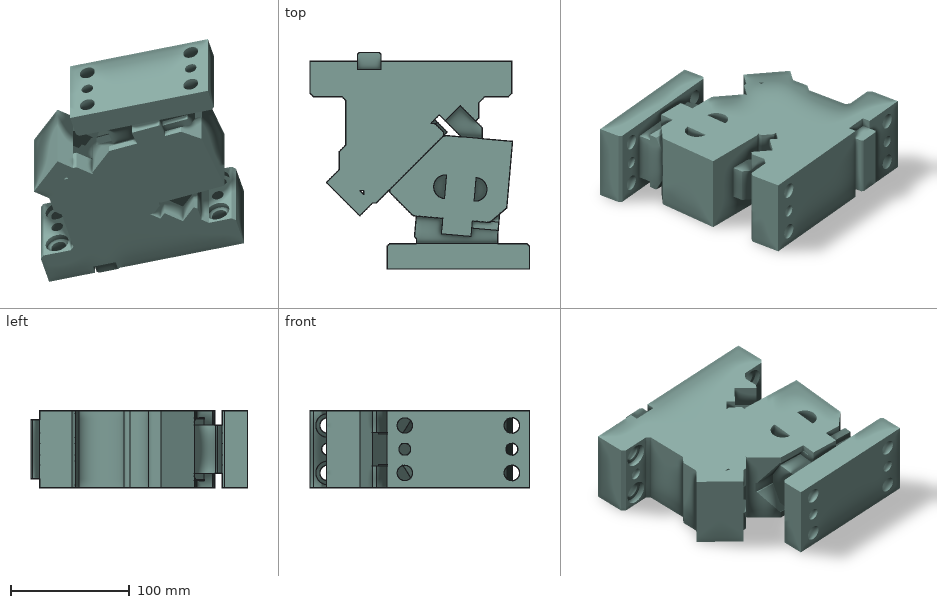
import cadquery as cq
import math


far = 185.0
height = 65.0
hole_spacing = 40.0
hole_inset = 15.0
screw_hole_diameter = 13.0
dowel_hole_diameter = 10.0
screw_z = (-hole_spacing / 2, hole_spacing / 2)

total_depth = 182.5
plate_length = 170.0
plate_thickness = 30.0
key_x = 50.0
key_width = 20.0
key_projection = 7.4
key_recess = 7.0
key_height = 50.0
key_chamfer = 1.5
counterbore_diameter = 20.0
counterbore_depth = 5.0
plate_chamfer = 3.0
column_left = 30.0
column_right = 142.3
column_bevel_right = 5.0
heel_left = 24.6
heel_top = 98.8
plate_back = total_depth - key_projection
plate_front = plate_back - plate_thickness

rail_origin = (55.9, 55.5)
rail_bevel = 2.2
rail_length = 82.3
toe_length = 17.4
toe_depth = 42.0
gap_end = 90.1
gap_depth = 15.0
stop_end = 108.0
stop_depth = 8.0
column_foot = -10.4
stop_right = 145.2

slot_width = 28.1
neck_width = 25.7
head_width = 40.0
head_start = 11.7
head_end = 21.3
tongue_end = 84.5

tilt = math.radians(5)
tilt_origin = (124.3, 41.5)
slider_start = 14.5
slider_right = 40.5
slider_depth = 70.0
slider_corner = 13.5
slider_end_chamfer = 1.5
tab_width = 25.0
tab_depth = 13.0
pocket_radius = 10.0
pocket_centre_b = 26.8
pocket_depth = 14.8

base_left = 65.0
base_right = 185.0
base_thickness = 21.5
base_chamfer = 2.2
neck_left = 89.7
neck_right = 158.4
ridge_length = 70.0
ridge_foot = -17.4
ridge_flat_half = 5.0
ridge_rise = 0.5
ridge_relief = 1.0
groove_half = 26.5
ridge_half = 20.4
wing_half = 25.5
wing_thickness = 6.0
ridge_slope = math.tan(math.radians(30))

rail_plane = cq.Plane(origin=(*rail_origin, 0), xDir=(1, 1, 0), normal=(0, 0, 1))
tilt_plane = cq.Plane(
    origin=(*tilt_origin, 0), xDir=(math.cos(tilt), -math.sin(tilt), 0), normal=(0, 0, 1)
)


def on_plane(plane, u, v):
    """X and Y of a point given in a plane's own coordinates."""
    point = plane.toWorldCoords((u, v, 0))
    return (point.x, point.y)


def block(plane, u_min, u_max, v_min, v_max, z_size):
    """Box between two corners in a plane, centred on Z = 0."""
    size = (u_max - u_min, v_max - v_min, z_size)
    centre = ((u_min + u_max) / 2, (v_min + v_max) / 2)
    return cq.Workplane(plane).center(*centre).box(*size)


def prism(points, z_size):
    """Closed outline in X and Y, extruded evenly about Z = 0."""
    return cq.Workplane("XY").polyline(points).close().extrude(z_size / 2, both=True)


def holes_along_y(x_places, z_places, y_start, diameter, depth):
    """Round cutters that start at y_start and run towards +Y."""
    places = [(x, z) for x in x_places for z in z_places]
    start = cq.Plane(origin=(0, y_start, 0), xDir=(1, 0, 0), normal=(0, -1, 0))
    return cq.Workplane(start).pushPoints(places).circle(diameter / 2).extrude(-depth)


def t_section(plane, u_min, u_max, mouth_width):
    """T-shaped bar along the rail: a narrow mouth and a wider head."""
    mouth = block(plane, u_min, u_max, 0, head_start, mouth_width)
    return mouth.union(block(plane, u_min, u_max, head_start, head_end, head_width))


def slider_blank():
    """Full-height slider block, bounded by the rail and by its own tilted sides."""
    body = block(tilt_plane, -far, slider_right, 0, slider_depth, height)
    body = body.intersect(block(rail_plane, slider_start, far, -far, 0, height))
    body = body.edges("|Z").edges("<Y").chamfer(slider_corner)
    rail_face_ends = body.edges("|Z").edges(">Y or <X")
    return rail_face_ends.chamfer(slider_end_chamfer)


def make_key():
    key = cq.Workplane("XY").box(key_width, key_projection + key_recess, key_height)
    key = key.edges(">Y and |Z").chamfer(key_chamfer)
    return key.translate((key_x, plate_back + (key_projection - key_recess) / 2, 0))


def make_stop():
    """Low plate across the end of the rail, resting against the slider's upper side."""
    stop = block(rail_plane, gap_end, stop_end, -far, stop_depth, slot_width)
    stop = stop.intersect(block(cq.Plane.XY(), 0, stop_right, 0, total_depth, height))
    return stop.intersect(block(tilt_plane, -far, far, slider_depth, far, height))


def make_housing():
    def rail(s, t):
        return on_plane(rail_plane, s, t)

    toe_left = rail(-toe_length, toe_depth)
    step = column_left - heel_left
    foot_start = rail(stop_end, column_foot)
    foot_y = foot_start[1] + column_right - foot_start[0]
    outline = [
        (0, plate_back),
        (0, plate_front + plate_chamfer),
        (plate_chamfer, plate_front),
        (column_left - plate_chamfer, plate_front),
        (column_left, plate_front - plate_chamfer),
        (column_left, heel_top + step),
        (heel_left, heel_top),
        (heel_left, toe_left[1] + heel_left - toe_left[0]),
        toe_left,
        rail(-toe_length, rail_bevel),
        rail(-rail_bevel, rail_bevel),
        rail(0, 0),
        rail(rail_length - rail_bevel, 0),
        rail(rail_length, rail_bevel),
        rail(rail_length, gap_depth - rail_bevel),
        rail(rail_length - rail_bevel, gap_depth),
        rail(gap_end, gap_depth),
        rail(gap_end, stop_depth),
        rail(stop_end, stop_depth),
        foot_start,
        (column_right, foot_y),
        (column_right, plate_front - column_bevel_right),
        (column_right + column_bevel_right, plate_front),
        (plate_length - plate_chamfer, plate_front),
        (plate_length, plate_front + plate_chamfer),
        (plate_length, plate_back),
    ]
    body = prism(outline, height)
    relief = [
        rail(-rail_bevel, gap_depth - rail_bevel),
        rail(0, gap_depth),
        rail(-rail_bevel, gap_depth + rail_bevel),
    ]
    body = body.cut(prism(relief, height))
    body = body.cut(t_section(rail_plane, -rail_bevel, gap_end, slot_width))
    body = body.union(make_stop())

    hole_x = (hole_inset, plate_length - hole_inset)
    body = body.cut(holes_along_y(hole_x, screw_z, plate_front, screw_hole_diameter, plate_thickness))
    body = body.cut(holes_along_y(hole_x, (0,), plate_front, dowel_hole_diameter, plate_thickness))
    body = body.cut(holes_along_y(hole_x, screw_z, plate_front, counterbore_diameter, counterbore_depth))

    key_left = key_x - key_width / 2
    keyway = block(
        cq.Plane.XY(), key_left, key_left + key_width, plate_back - key_recess, plate_back, height
    )
    return body.cut(keyway).union(make_key())


def ridge_top(z):
    """Height b of the V ridge above the slider's underside at a distance z from the middle."""
    return ridge_rise + (groove_half - z) * ridge_slope


def ridge_section(half, lower_points, relief=0):
    """Symmetric V section in (b, z), with a flat peak that a relief can sink further into the slider."""
    peak = ridge_top(ridge_flat_half)
    upper = [(peak, ridge_flat_half), (ridge_top(half), half), *lower_points]
    if relief:
        upper.insert(0, (peak + relief, ridge_flat_half))
    return upper + [(b, -z) for b, z in reversed(upper)]


def along_ridge(section, a_min, a_max):
    """Extrude a (b, z) section along the slider's underside."""
    start = cq.Plane(
        origin=tilt_plane.toWorldCoords((a_min, 0, 0)).toTuple(),
        xDir=tilt_plane.yDir.toTuple(),
        normal=tilt_plane.xDir.toTuple(),
    )
    return cq.Workplane(start).polyline(section).close().extrude(a_max - a_min)


def make_slider():
    tab = block(tilt_plane, -tab_width / 2, tab_width / 2, -tab_depth, slider_depth / 2, height)
    body = slider_blank().union(tab)

    groove = ridge_section(
        groove_half,
        [(-wing_thickness, groove_half), (-wing_thickness, ridge_half), (-tab_depth, ridge_half)],
        ridge_relief,
    )
    body = body.cut(along_ridge(groove, -far, far))

    for side in (-1, 1):
        flat = side * tab_width / 2
        pocket = (
            cq.Workplane(tilt_plane)
            .workplane(offset=height / 2)
            .moveTo(flat, pocket_centre_b - pocket_radius)
            .threePointArc(
                (flat + side * pocket_radius, pocket_centre_b), (flat, pocket_centre_b + pocket_radius)
            )
            .close()
            .extrude(-pocket_depth)
        )
        body = body.cut(pocket)
    return body.union(t_section(rail_plane, slider_start, tongue_end, neck_width))


def make_driver():
    base = block(cq.Plane.XY(), base_left, base_right, 0, base_thickness, height)
    base = base.edges(">Y and |Z").chamfer(base_chamfer)
    hole_x = (base_left + hole_inset, base_right - hole_inset)
    base = base.cut(holes_along_y(hole_x, screw_z, 0, screw_hole_diameter, base_thickness))
    base = base.cut(holes_along_y(hole_x, (0,), 0, dowel_hole_diameter, base_thickness))

    half_length = ridge_length / 2
    left_foot = on_plane(tilt_plane, -half_length, ridge_foot)
    upper_right = on_plane(tilt_plane, half_length, 0)
    right_foot_y = upper_right[1] - (upper_right[0] - neck_right) / math.tan(tilt)
    neck = [
        on_plane(tilt_plane, -half_length, 0),
        left_foot,
        (neck_left, left_foot[1] - (neck_left - left_foot[0])),
        (neck_left, base_thickness),
        (neck_right, base_thickness),
        (neck_right, right_foot_y),
        upper_right,
    ]
    ridge = along_ridge(ridge_section(ridge_half, [(-wing_thickness, ridge_half)]), -half_length, half_length)
    wing = along_ridge(ridge_section(wing_half, [(-wing_thickness, wing_half)]), -tab_width / 2, half_length)
    return base.union(prism(neck, 2 * ridge_half)).union(ridge).union(wing)


housing = make_housing()
slider = make_slider()
driver = make_driver()

result = cq.Compound.makeCompound([housing.val(), slider.val(), driver.val()])